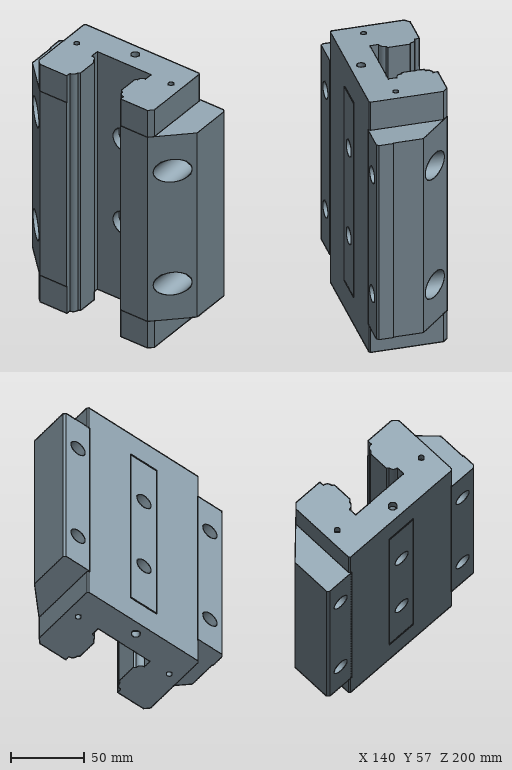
import cadquery as cq

length = 200.0
width = 140.0
height = 57.0
body_length = 155.0

slope_foot = 45.5
slope_top = width / 2 - slope_foot
edge_chamfer = 1.5
edge_relief = 0.5
edge_relief_top = 45.2
face_relief = 0.5
land_inner = 47.5
center_land = 22.8

cap_half = 49.0
cap_chamfer = 1.0
cap_height = height - face_relief
cap_bottom = 0.2

channel_half = 22.8
channel_top = 35.5
ridge_half = 17.2
ridge_center = 16.5
ridge_flat = 7.8
shoulder_step = 1.5
shoulder_rise = 1.0

bolt_diameter = 12.5
head_diameter = 19.0
flange_hole_x = 58.0
flange_hole_pitch = 95.0
flange_seat = 35.5
middle_hole_pitch = 70.0
middle_seat = 42.0

lube_diameter = 6.0
lube_y = 48.2
screw_diameter = 4.0
screw_x = 40.0
screw_y = 35.0
blind_depth = 6.0


def extrude_centered(points, depth):
    """Extrude an XY outline by depth, centred on Z = 0."""
    return cq.Workplane("XY").polyline(points).close().extrude(depth / 2, both=True)


def make_body():
    """Flanged middle section with 45 degree lower slopes and three raised mounting lands."""
    half = width / 2
    relieved = half - edge_relief
    body = extrude_centered(
        [
            (-slope_foot, 0),
            (slope_foot, 0),
            (half, slope_top),
            (half, height - edge_chamfer),
            (half - edge_chamfer, height),
            (edge_chamfer - half, height),
            (-half, height - edge_chamfer),
            (-half, edge_relief_top),
            (-relieved, edge_relief_top),
            (-relieved, slope_top - edge_relief),
        ],
        body_length,
    )
    groove_width = land_inner - center_land / 2
    groove_x = (land_inner + center_land / 2) / 2
    for side in (-1, 1):
        groove = cq.Workplane("XY").box(groove_width, 2 * face_relief, body_length)
        body = body.cut(groove.translate((side * groove_x, height, 0)))
    return body


def make_caps():
    """Both end caps as one full-length bar; the body hides its middle."""
    slope_end = cap_bottom + cap_half - slope_foot
    return extrude_centered(
        [
            (-slope_foot, cap_bottom),
            (slope_foot, cap_bottom),
            (cap_half, slope_end),
            (cap_half, cap_height - cap_chamfer),
            (cap_half - cap_chamfer, cap_height),
            (cap_chamfer - cap_half, cap_height),
            (-cap_half, cap_height - cap_chamfer),
            (-cap_half, slope_end),
        ],
        length,
    )


def make_channel():
    """Rail channel with a round-shouldered ridge on either wall."""
    shoulder_x = ridge_half + shoulder_step
    radius = channel_half - shoulder_x
    shoulder_y = ridge_flat + shoulder_rise
    channel = cq.Workplane("XY").box(
        2 * channel_half, channel_top, length, centered=(True, False, True)
    )
    ridge = (
        cq.Workplane("XY")
        .moveTo(channel_half, -shoulder_y - radius)
        .radiusArc((shoulder_x, -shoulder_y), radius)
        .lineTo(ridge_half, -ridge_flat)
        .lineTo(ridge_half, ridge_flat)
        .lineTo(shoulder_x, shoulder_y)
        .radiusArc((channel_half, shoulder_y + radius), radius)
        .close()
        .extrude(length / 2, both=True)
        .translate((0, ridge_center, 0))
    )
    return channel.cut(ridge).cut(ridge.mirror("YZ"))


def bolt_hole(x, z, seat):
    """Through hole along Y with a bolt head counterbore open towards -Y."""
    plane = cq.Workplane("XZ", origin=(x, 0, z))
    shank = plane.circle(bolt_diameter / 2).extrude(-height)
    head = plane.circle(head_diameter / 2).extrude(-seat)
    return shank.union(head)


def blind_hole(x, y, diameter):
    """Drilled hole with a 90 degree point, going down from the +Z end."""
    radius = diameter / 2
    return (
        cq.Workplane("XZ", origin=(x, y, length / 2))
        .polyline([(0, 0), (radius, 0), (radius, -blind_depth), (0, -blind_depth - radius)])
        .close()
        .revolve(360, (0, 0, 0), (0, 1, 0))
    )


result = make_caps().union(make_body()).cut(make_channel())

for end in (-1, 1):
    for side in (-1, 1):
        result = result.cut(bolt_hole(side * flange_hole_x, end * flange_hole_pitch / 2, flange_seat))
    result = result.cut(bolt_hole(0, end * middle_hole_pitch / 2, middle_seat))

end_holes = blind_hole(0, lube_y, lube_diameter)
for side in (-1, 1):
    end_holes = end_holes.union(blind_hole(side * screw_x, screw_y, screw_diameter))
result = result.cut(end_holes).cut(end_holes.mirror("XY"))